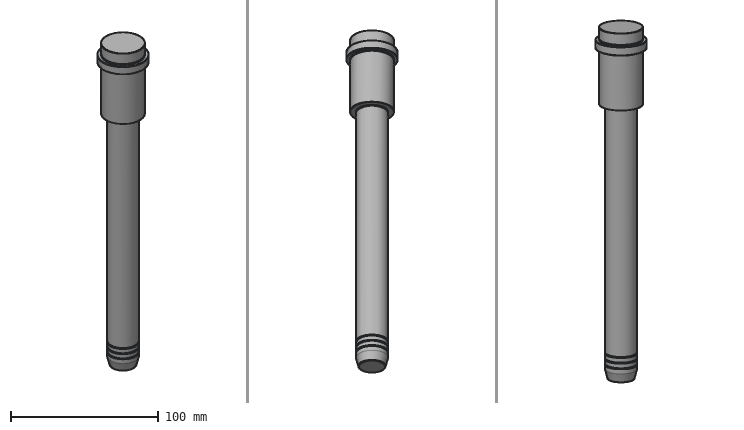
import cadquery as cq

TOTAL_LENGTH = 250.0
HEAD_LENGTH = 55.0
COLLAR_TOP_DEPTH = 9.0
COLLAR_WIDTH = 6.0
TAPER_LENGTH = 7.0

COLLAR_RADIUS = 35.0 / 2
HEAD_RADIUS = 30.0 / 2
SHANK_RADIUS = 22.0 / 2
TIP_RADIUS = 18.6 / 2

COLLAR_CHAMFER = 0.3
HEAD_CHAMFER = 0.3
TIP_CHAMFER = 0.5

GROOVE_COUNT = 3
GROOVE_PITCH = 4.0
GROOVE_DEPTH = 0.4
FIRST_GROOVE_BOTTOM_Z = 10.0

RELIEF_DEPTH = 0.3

GROOVE_WIDTH = 1.0

HEAD_BOTTOM_Z = TOTAL_LENGTH - HEAD_LENGTH
COLLAR_TOP_Z = TOTAL_LENGTH - COLLAR_TOP_DEPTH
COLLAR_BOTTOM_Z = COLLAR_TOP_Z - COLLAR_WIDTH


def v_groove(radius, bottom_z, depth):
    """Profile points of a V groove cut into a cylinder, from bottom to top."""
    return [
        (radius, bottom_z),
        (radius - depth, bottom_z + GROOVE_WIDTH / 2),
        (radius, bottom_z + GROOVE_WIDTH),
    ]


def tip_profile():
    """Chamfered end and tapered lead-in."""
    return [
        (TIP_RADIUS - TIP_CHAMFER, 0),
        (TIP_RADIUS, TIP_CHAMFER),
        (SHANK_RADIUS, TAPER_LENGTH),
    ]


def shank_profile():
    """Straight shank with its ring grooves and the relief under the head."""
    points = []
    for index in range(GROOVE_COUNT):
        bottom_z = FIRST_GROOVE_BOTTOM_Z + index * GROOVE_PITCH
        points += v_groove(SHANK_RADIUS, bottom_z, GROOVE_DEPTH)
    points += v_groove(SHANK_RADIUS, HEAD_BOTTOM_Z - GROOVE_WIDTH, RELIEF_DEPTH)
    return points


def lower_head_profile():
    """Head below the collar, with a chamfered lower edge and a relief at the collar."""
    chamfer = [
        (HEAD_RADIUS - HEAD_CHAMFER, HEAD_BOTTOM_Z),
        (HEAD_RADIUS, HEAD_BOTTOM_Z + HEAD_CHAMFER),
    ]
    return chamfer + v_groove(HEAD_RADIUS, COLLAR_BOTTOM_Z - GROOVE_WIDTH, RELIEF_DEPTH)


def collar_profile():
    """Locating collar, chamfered on both rims."""
    return [
        (COLLAR_RADIUS - COLLAR_CHAMFER, COLLAR_BOTTOM_Z),
        (COLLAR_RADIUS, COLLAR_BOTTOM_Z + COLLAR_CHAMFER),
        (COLLAR_RADIUS, COLLAR_TOP_Z - COLLAR_CHAMFER),
        (COLLAR_RADIUS - COLLAR_CHAMFER, COLLAR_TOP_Z),
    ]


def upper_head_profile():
    """Head above the collar, with a relief at the collar and a chamfered top edge."""
    chamfer = [
        (HEAD_RADIUS, TOTAL_LENGTH - HEAD_CHAMFER),
        (HEAD_RADIUS - HEAD_CHAMFER, TOTAL_LENGTH),
    ]
    return v_groove(HEAD_RADIUS, COLLAR_TOP_Z, RELIEF_DEPTH) + chamfer


def make_pillar():
    """Revolve the half profile, drawn on the -X side, about the Z axis."""
    outline = (
        tip_profile()
        + shank_profile()
        + lower_head_profile()
        + collar_profile()
        + upper_head_profile()
    )
    half_section = [(0, 0)] + [(-radius, z) for radius, z in outline] + [(0, TOTAL_LENGTH)]
    return cq.Workplane("XZ").polyline(half_section).close().revolve(360, (0, 0, 0), (0, 1, 0))


result = make_pillar()